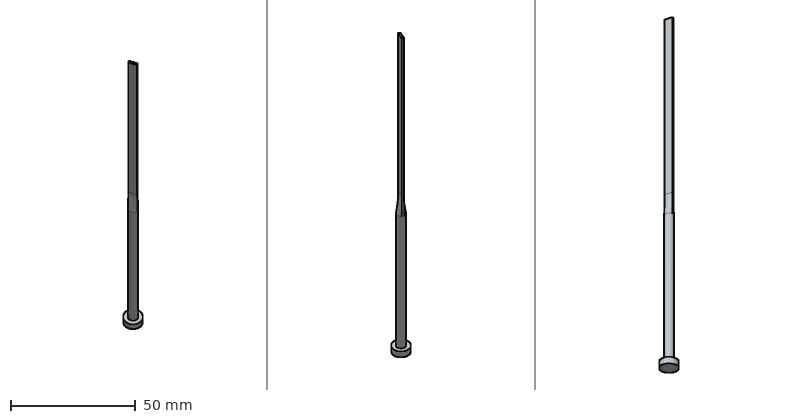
import cadquery as cq
import math

total_length = 160.0
head_diameter = 8.0
head_height = 3.0
shaft_diameter = 4.2
shaft_top = 70.0
blade_width = 3.8
blade_thickness = 1.0
blade_start = 80.0

shaft_radius = shaft_diameter / 2
half_thickness = blade_thickness / 2
half_width = blade_width / 2


def shaft_outline():
    """Shaft circle in four arcs; the two short ones span the blade thickness."""
    x = math.sqrt(shaft_radius**2 - half_thickness**2)
    y = half_thickness
    return (
        cq.Workplane("XY", origin=(0, 0, shaft_top))
        .moveTo(x, -y)
        .threePointArc((shaft_radius, 0), (x, y))
        .threePointArc((0, shaft_radius), (-x, y))
        .threePointArc((-shaft_radius, 0), (-x, -y))
        .threePointArc((0, -shaft_radius), (x, -y))
        .close()
        .wire()
        .val()
    )


def blade_outline():
    """Blade rectangle, begun at the same corner as the shaft outline."""
    return (
        cq.Workplane("XY", origin=(0, 0, blade_start))
        .moveTo(half_width, -half_thickness)
        .lineTo(half_width, half_thickness)
        .lineTo(-half_width, half_thickness)
        .lineTo(-half_width, -half_thickness)
        .close()
        .wire()
        .val()
    )


head = cq.Workplane("XY").circle(head_diameter / 2).extrude(head_height)
shaft = cq.Workplane("XY").circle(shaft_radius).extrude(shaft_top)

transition = cq.Workplane(cq.Solid.makeLoft([shaft_outline(), blade_outline()], True))

blade = (
    cq.Workplane("XY", origin=(0, 0, blade_start))
    .rect(blade_width, blade_thickness)
    .extrude(total_length - blade_start)
)

result = head.union(shaft).union(transition).union(blade)